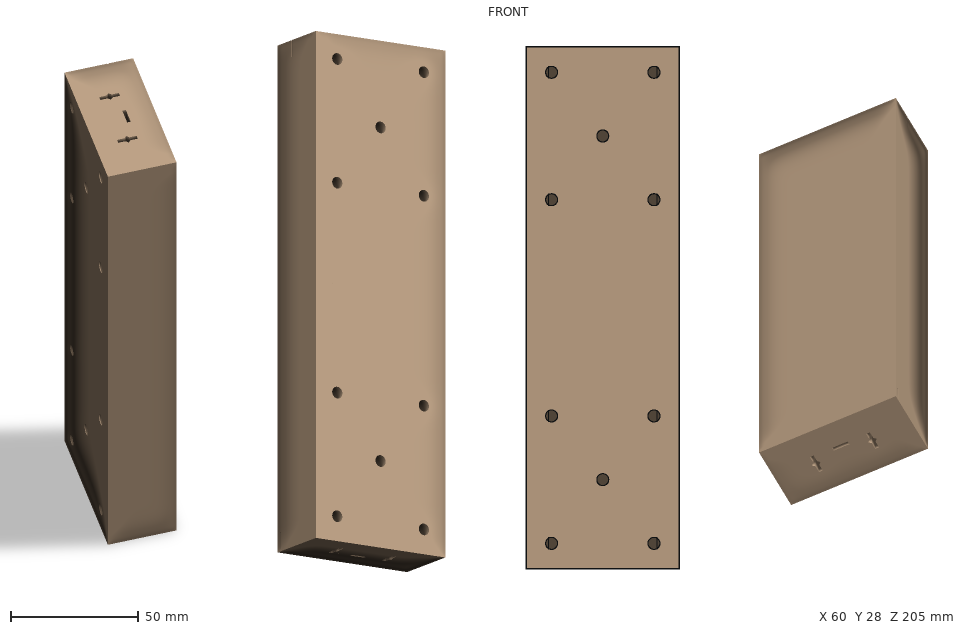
import cadquery as cq

length = 205.0
width = 60.0
height = 28.0

plate_thickness = 9.2
tongue_width = 6.8
tongue_height = 6.5

channel_width = 42.6
channel_depth = 8.0

rail_gap = 1.6
groove_depth = 1.0
rail_width = (channel_width - tongue_width) / 4 - rail_gap / 2

hole_diameter = 4.7
hole_x = 20.0
outer_hole_z = 92.5
inner_hole_z = 42.5
center_hole_z = (outer_hole_z + inner_hole_z) / 2

slot_width = 0.6
slot_depth = 0.2
top_slot_length = 6.8
top_slot_y = 17.6
bottom_slot_length = 7.0
bottom_slot_y = 26.2
bottom_slot_start = 0.8

front_y = -height / 2
joint_y = front_y + plate_thickness
back_y = height / 2
bottom_z = -length / 2
top_z = length / 2


def block(x_min, x_max, y_min, y_max, z_min=bottom_z, z_max=top_z):
    """Axis-aligned block between two opposite corners."""
    size = (x_max - x_min, y_max - y_min, z_max - z_min)
    return cq.Workplane("XY").box(*size, centered=False).translate((x_min, y_min, z_min))


def make_base():
    """Front plate with the central tongue and its screw holes."""
    plate = block(-width / 2, width / 2, front_y, joint_y)
    tongue = block(-tongue_width / 2, tongue_width / 2, joint_y, joint_y + tongue_height)
    hole_points = [
        (side * hole_x, z)
        for side in (-1, 1)
        for z in (-outer_hole_z, -inner_hole_z, inner_hole_z, outer_hole_z)
    ]
    hole_points += [(0, -center_hole_z), (0, center_hole_z)]
    front = cq.Workplane("XZ", origin=(0, front_y, 0))
    holes = front.pushPoints(hole_points).circle(hole_diameter / 2).extrude(-plate_thickness)
    return plate.union(tongue).cut(holes)


def make_housing():
    """Rear block with the rail channel and the marking slots."""
    body = block(-width / 2, width / 2, joint_y, back_y)
    channel = block(-channel_width / 2, channel_width / 2, joint_y, joint_y + channel_depth)
    top_slot = make_slot(top_slot_y, top_z - top_slot_length, top_slot_length)
    bottom_slot = make_slot(bottom_slot_y, bottom_z + bottom_slot_start, bottom_slot_length)
    return body.cut(channel).cut(top_slot).cut(bottom_slot)


def make_slot(distance_from_front, z_start, slot_length):
    """Shallow slot sunk into the -X side."""
    y = front_y + distance_from_front
    return block(
        -width / 2,
        -width / 2 + slot_depth,
        y - slot_width / 2,
        y + slot_width / 2,
        z_start,
        z_start + slot_length,
    )


def make_rail(back_x, direction):
    """Rail standing on its back face at back_x, with its V groove facing along direction."""
    face_x = back_x + direction * rail_width
    rail_top = joint_y + channel_depth
    mid_y = (joint_y + rail_top) / 2
    outline = [
        (back_x, joint_y),
        (face_x, joint_y),
        (face_x, mid_y - groove_depth),
        (face_x - direction * groove_depth, mid_y),
        (face_x, mid_y + groove_depth),
        (face_x, rail_top),
        (back_x, rail_top),
    ]
    return cq.Workplane("XY", origin=(0, 0, bottom_z)).polyline(outline).close().extrude(length)


base = make_base()
housing = make_housing()
rails = []
for side in (-1, 1):
    rails.append(make_rail(side * channel_width / 2, -side))
    rails.append(make_rail(side * tongue_width / 2, side))

result = cq.Compound.makeCompound([base.val(), housing.val(), *[rail.val() for rail in rails]])